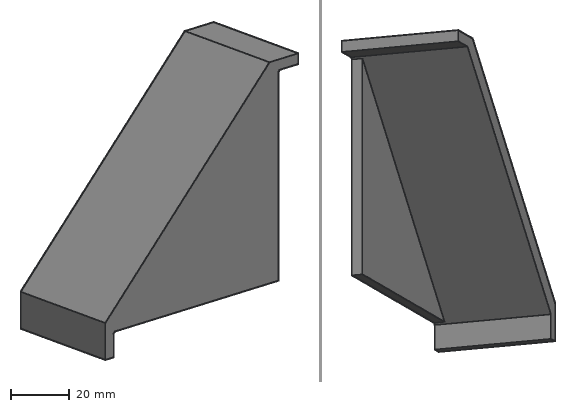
import cadquery as cq

size = 90.0
width = 43.0
flange_thickness = 4.0
outer_flange = 13.5
inner_flange = 8.6
web_thickness = 4.0
web_inset = 9.3

underside_rise = inner_flange - flange_thickness


def bent_plate():
    """Sloped plate with a level flange at the top and an upright one at the bottom."""
    outline = [
        (0, 0),
        (0, outer_flange),
        (size - outer_flange, size),
        (size, size),
        (size, size - flange_thickness),
        (size - inner_flange, size - flange_thickness),
        (flange_thickness, inner_flange),
        (flange_thickness, 0),
    ]
    return cq.Workplane("YZ").polyline(outline).close().extrude(width)


def side_web():
    """Triangular web under the slope, flush with the +X side of the plate."""
    back = size - web_inset
    outline = [
        (web_inset - underside_rise, web_inset),
        (back, web_inset),
        (back, back + underside_rise),
    ]
    web = cq.Workplane("YZ").polyline(outline).close().extrude(web_thickness)
    return web.translate((width - web_thickness, 0, 0))


result = bent_plate().union(side_web())